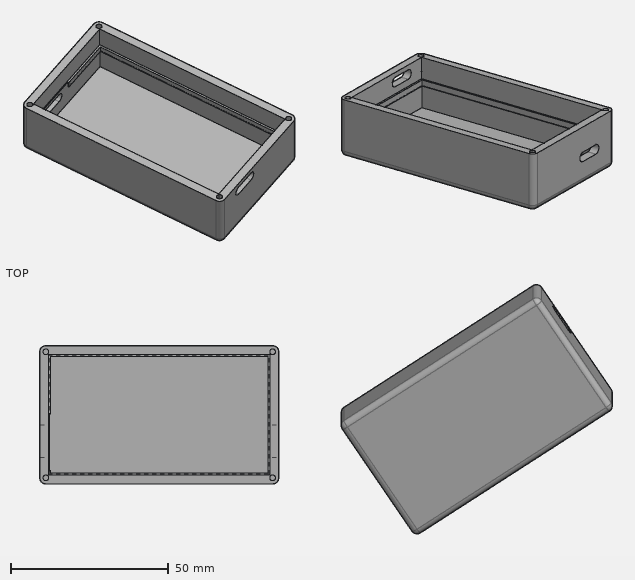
import cadquery as cq

LENGTH = 76.0
WIDTH = 44.0
HEIGHT = 19.9
EDGE_RADIUS = 2.0

UPPER_WALL = 2.8
RAIL_WALL = 3.5
LOWER_WALL = 3.1
FLOOR = 2.6
RAIL_TOP = 12.5
RAIL_BOTTOM = 10.3

SCREW_DIAMETER = 1.8
SCREW_DEPTH = 5.0

SLOT_LENGTH = 10.3
SLOT_HEIGHT = 3.3
SLOT_Y = -8.35
LEFT_SLOT_Z = 9.5
RIGHT_SLOT_Z = 16.6

GAP_LENGTH = 18.0
GAP_Y = -8.75


def make_body():
    """Block with rounded upright edges and a rounded underside."""
    body = cq.Workplane("XY").box(LENGTH, WIDTH, HEIGHT, centered=(True, True, False))
    return body.edges("|Z or <Z").fillet(EDGE_RADIUS)


def cavity_layer(wall, bottom, top):
    """Rectangular void that leaves the given wall thickness on all four sides."""
    void = cq.Workplane("XY").workplane(offset=bottom)
    return void.rect(LENGTH - 2 * wall, WIDTH - 2 * wall).extrude(top - bottom)


def screw_holes():
    """Blind holes sunk into the four corners of the rim."""
    rim = cq.Workplane("XY").workplane(offset=HEIGHT)
    corners = rim.rect(LENGTH - 2 * EDGE_RADIUS, WIDTH - 2 * EDGE_RADIUS, forConstruction=True)
    return corners.vertices().circle(SCREW_DIAMETER / 2).extrude(-SCREW_DEPTH)


def cable_slot(side, height):
    """Slot through one end wall; side is -1 for -X and +1 for +X."""
    wall = cq.Workplane("YZ", origin=(side * LENGTH / 2, SLOT_Y, height))
    return wall.slot2D(SLOT_LENGTH, SLOT_HEIGHT).extrude(-side * RAIL_WALL)


def rail_gap():
    """Void that trims the -X rail back to the lower wall."""
    depth = RAIL_WALL - LOWER_WALL
    gap = cq.Workplane("XY").box(depth, GAP_LENGTH, RAIL_TOP - RAIL_BOTTOM, centered=(False, True, False))
    return gap.translate((LOWER_WALL - LENGTH / 2, GAP_Y, RAIL_BOTTOM))


result = (
    make_body()
    .cut(cavity_layer(UPPER_WALL, RAIL_TOP, HEIGHT))
    .cut(cavity_layer(RAIL_WALL, RAIL_BOTTOM, RAIL_TOP))
    .cut(cavity_layer(LOWER_WALL, FLOOR, RAIL_BOTTOM))
    .cut(screw_holes())
    .cut(cable_slot(-1, LEFT_SLOT_Z))
    .cut(cable_slot(1, RIGHT_SLOT_Z))
    .cut(rail_gap())
)